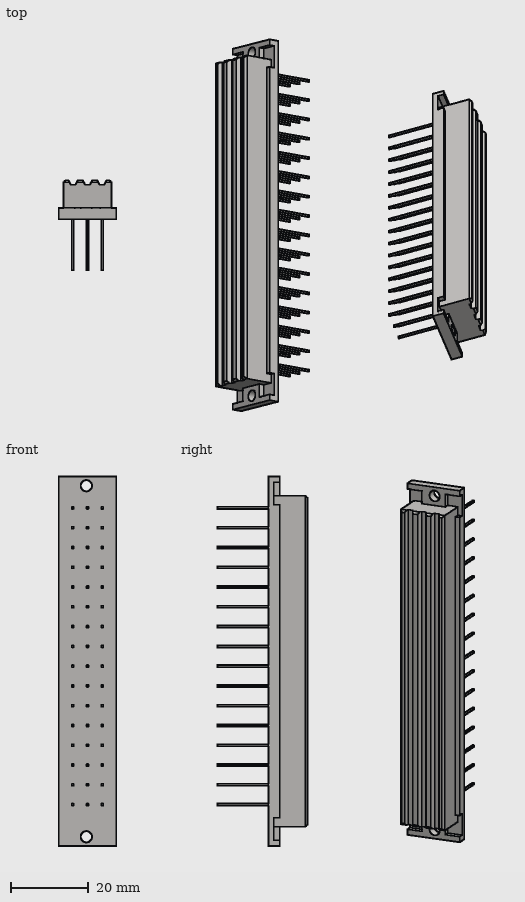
import cadquery as cq

flange_width = 14.8
flange_thickness = 2.9
flange_height = 94.9

body_width = 12.4
body_depth = 7.1
body_height = 85.0
body_chamfer = 0.6

pin_diameter = 0.6
pin_length = 13.1
column_count = 3
column_pitch = 3.8
row_count = 16
row_span = 76.2
row_pitch = row_span / (row_count - 1)
top_row_drop = 8.1
groove_mouth = 2.4
groove_floor = 1.2
groove_depth = 1.1
groove_pitch = 3.7

hole_diameter = 2.8
hole_offset_x = -0.3
hole_end_distance = 2.4

pocket_depth_x = 4.1
pocket_depth_y = 1.5
pocket_end_distance = 1.5
pocket_height = 5.7

flange_back = flange_thickness
body_back = flange_back + body_depth


def centred_places(count, pitch):
    """Evenly spaced places, centred on zero."""
    return [(i - (count - 1) / 2) * pitch for i in range(count)]


def make_flange():
    flange = cq.Workplane("XY").box(
        flange_width, flange_thickness, flange_height, centered=(True, False, True)
    )
    pocket_x = (flange_width - pocket_depth_x) / 2
    pocket_z = flange_height / 2 - pocket_end_distance - pocket_height / 2
    pockets = (
        cq.Workplane("XY", origin=(0, flange_back - pocket_depth_y / 2, 0))
        .pushPoints([(-pocket_x, 0), (pocket_x, 0)])
        .box(pocket_depth_x, pocket_depth_y, pocket_height)
    )
    for side in (-1, 1):
        flange = flange.cut(pockets.translate((0, 0, side * pocket_z)))
    return flange


def make_body():
    body = (
        cq.Workplane("XY", origin=(0, flange_back - pocket_depth_y, 0))
        .box(body_width, body_depth + pocket_depth_y, body_height, centered=(True, False, True))
        .faces(">Y")
        .chamfer(body_chamfer)
    )
    groove = (
        cq.Workplane("XY", origin=(0, body_back, -body_height / 2))
        .moveTo(-groove_mouth / 2, 0)
        .lineTo(groove_mouth / 2, 0)
        .lineTo(groove_floor / 2, -groove_depth)
        .lineTo(-groove_floor / 2, -groove_depth)
        .close()
        .extrude(body_height)
    )
    for x in centred_places(column_count, groove_pitch):
        body = body.cut(groove.translate((x, 0, 0)))
    return body


def make_screw_holes():
    hole_z = flange_height / 2 - hole_end_distance
    return (
        cq.Workplane("XZ", origin=(0, flange_back, 0))
        .pushPoints([(hole_offset_x, -hole_z), (hole_offset_x, hole_z)])
        .circle(hole_diameter / 2)
        .extrude(flange_thickness)
    )


def make_pins():
    top_row_z = flange_height / 2 - top_row_drop
    places = [
        (x, top_row_z - row * row_pitch)
        for row in range(row_count)
        for x in centred_places(column_count, column_pitch)
    ]
    return cq.Workplane("XZ").pushPoints(places).circle(pin_diameter / 2).extrude(pin_length)


result = make_flange().union(make_body()).cut(make_screw_holes()).union(make_pins())